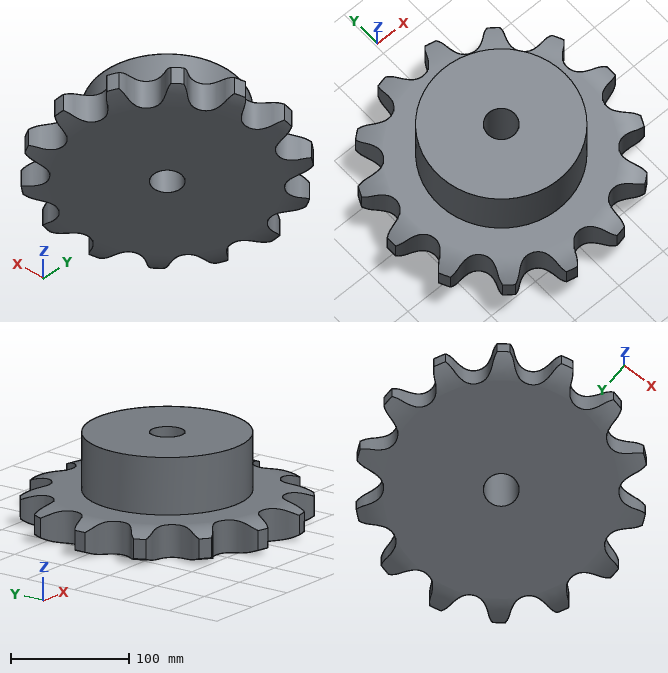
import cadquery as cq
import math


tooth_count = 14
outer_diameter = 248.8
chain_pitch = 50.8
roller_diameter = 28.5
seat_diameter = 28.9

plate_thickness = 29.0
tip_thickness = 17.5
flat_face_radius = 100.3

hub_diameter = 145.0
total_height = 80.0
bore_diameter = 30.0

SEAT_TO_WORKING_CENTRE = 0.8
SEAT_TO_TOPPING_CENTRE = 1.4

topping_sweep = math.radians(35)

half_pitch_angle = math.pi / tooth_count
outer_radius = outer_diameter / 2
pitch_radius = chain_pitch / (2 * math.sin(half_pitch_angle))
seat_radius = seat_diameter / 2
root_radius = pitch_radius - seat_radius

seat_angle = math.radians(35 + 60 / tooth_count)
working_angle = math.radians(18 - 56 / tooth_count)


def offset(point, distance, angle):
    """Point at a distance from another, in a direction measured from +X."""
    return (point[0] + distance * math.cos(angle), point[1] + distance * math.sin(angle))


def mirrored(point):
    """Matching point on the other side of the X axis."""
    return (point[0], -point[1])


def tooth_gap():
    """Gap between two teeth, symmetric about +X and open beyond the tip circle."""
    seat_centre = (pitch_radius, 0)
    seat_start = (root_radius, 0)
    seat_direction = math.pi / 2 + seat_angle
    seat_middle = offset(seat_centre, seat_radius, (math.pi + seat_direction) / 2)
    seat_end = offset(seat_centre, seat_radius, seat_direction)

    centre_distance = SEAT_TO_WORKING_CENTRE * roller_diameter
    working_radius = centre_distance + seat_radius
    working_centre = offset(seat_centre, -centre_distance, seat_direction)
    working_middle = offset(working_centre, working_radius, seat_direction - working_angle / 2)
    flank_direction = seat_direction - working_angle
    working_end = offset(working_centre, working_radius, flank_direction)

    topping_centre = offset(
        seat_centre, SEAT_TO_TOPPING_CENTRE * roller_diameter, math.pi / 2 + half_pitch_angle)
    centre_step_x = topping_centre[0] - working_centre[0]
    centre_step_y = topping_centre[1] - working_centre[1]
    centre_spacing = centre_step_x * math.cos(flank_direction) + centre_step_y * math.sin(flank_direction)
    topping_radius = centre_spacing - working_radius
    topping_start = offset(topping_centre, -topping_radius, flank_direction)
    topping_end = offset(topping_centre, -topping_radius, flank_direction + topping_sweep)
    topping_middle = offset(topping_centre, -topping_radius, flank_direction + topping_sweep / 2)

    return (
        cq.Workplane("XY")
        .moveTo(*seat_start)
        .threePointArc(seat_middle, seat_end)
        .threePointArc(working_middle, working_end)
        .lineTo(*topping_start)
        .threePointArc(topping_middle, topping_end)
        .lineTo(*mirrored(topping_end))
        .threePointArc(mirrored(topping_middle), mirrored(topping_start))
        .lineTo(*mirrored(working_end))
        .threePointArc(mirrored(working_middle), mirrored(seat_end))
        .threePointArc(mirrored(seat_middle), seat_start)
        .close()
        .extrude(plate_thickness)
    )


def toothed_plate():
    """Disc with its rim rounded on both faces, cut by the tooth gaps."""
    rim_depth = outer_radius - flat_face_radius
    rim_drop = (plate_thickness - tip_thickness) / 2
    rim_radius = (rim_depth**2 + rim_drop**2) / (2 * rim_drop)
    half_angle = math.atan2(rim_drop, rim_depth)
    middle_radius = flat_face_radius + rim_radius * math.sin(half_angle)
    middle_drop = rim_radius * (1 - math.cos(half_angle))

    plate = (
        cq.Workplane("XZ")
        .lineTo(flat_face_radius, 0)
        .threePointArc((middle_radius, middle_drop), (outer_radius, rim_drop))
        .lineTo(outer_radius, plate_thickness - rim_drop)
        .threePointArc((middle_radius, plate_thickness - middle_drop), (flat_face_radius, plate_thickness))
        .lineTo(0, plate_thickness)
        .close()
        .revolve(360, (0, 0, 0), (0, 1, 0))
    )
    gap = tooth_gap()
    for index in range(tooth_count):
        gap_angle = (index + 0.5) * 360 / tooth_count
        plate = plate.cut(gap.rotate((0, 0, 0), (0, 0, 1), gap_angle))
    return plate


hub = cq.Workplane("XY").circle(hub_diameter / 2).extrude(total_height)
bore = cq.Workplane("XY").circle(bore_diameter / 2).extrude(total_height)

result = toothed_plate().union(hub).cut(bore)